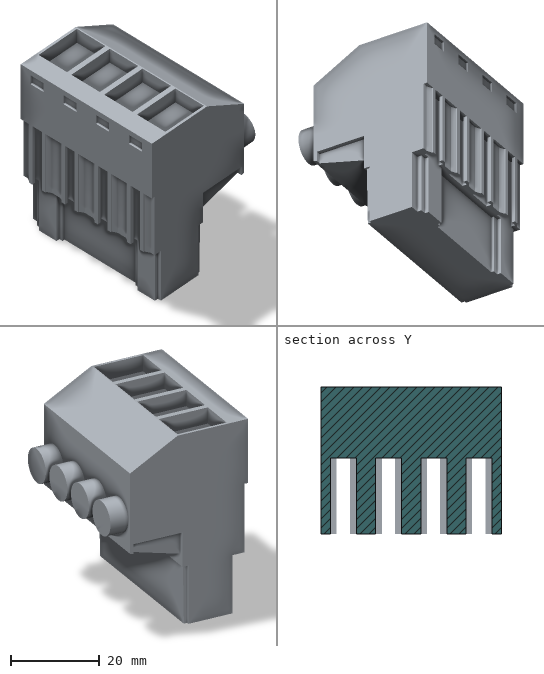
import cadquery as cq


pole_count = 4
pole_pitch = 10.158
total_height = 47.8
total_depth = 34.8

housing_back_y = 30.25
roof_ridge_y = 18.05
roof_eave_z = 41.15
overhang_back_z = 21.05
overhang_front_z = 17.4
neck_back_y = 16.8
neck_bottom_z = 14.6

end_recess_depth = 1.2
end_recess_back_y = 29.35
end_recess_top_z = 23.25

plug_front_y = 3.65
end_notch_y = 4.05
plug_back_y = 15.3
back_plate_top_y = 16.4
back_plate_bottom_y = 16.15
back_plate_inset = 0.55

key_poles = (0, pole_count - 1)
key_front_y = 2.0
key_left = -1.3
key_right = 4.1
key_base_y = 2.95
key_base_left = -2.75
key_base_right = pole_pitch / 2

groove_top_z = 31.75
groove_half_width = 2.55
groove_floor_half_width = 1.25
groove_step_y = 0.3
groove_floor_y = 0.9
channel_width = 2.95
undercut_width = 5.75
undercut_y = 0.85

pocket_width = 8.8
pocket_front_y = 5.15
pocket_back_y = 17.75
pocket_depth = 4.05
clamp_height = 9.55

window_width = 4.05
window_height = 2.6
window_top_z = 46.3
window_floor_y = 0.6

screw_diameter = 8.45
screw_axis_z = 28.85

total_width = pole_count * pole_pitch
half_width = total_width / 2
pocket_floor_z = total_height - pocket_depth
end_notch_width = pole_pitch / 2 + key_base_left
pole_xs = [(i + 0.5) * pole_pitch - half_width for i in range(pole_count)]
groove_xs = [i * pole_pitch - half_width for i in range(pole_count + 1)]


def block(x_range, y_range, z_range):
    """Box between the given limits on each axis."""
    lengths = [high - low for low, high in (x_range, y_range, z_range)]
    corner = (x_range[0], y_range[0], z_range[0])
    return cq.Workplane("XY").box(*lengths, centered=False).translate(corner)


def side_prism(points, x_start, x_end):
    """Prism along X with an outline of (y, z) points."""
    return cq.Workplane("YZ").workplane(offset=x_start).polyline(points).close().extrude(x_end - x_start)


def upper_housing():
    """Sloped-roof body with the overhang that carries the screws."""
    outline = [
        (0, neck_bottom_z),
        (0, total_height),
        (roof_ridge_y, total_height),
        (housing_back_y, roof_eave_z),
        (housing_back_y, overhang_back_z),
        (neck_back_y, overhang_front_z),
        (neck_back_y, neck_bottom_z),
    ]
    return side_prism(outline, -half_width, half_width)


def end_recesses():
    """Recesses under the overhang, one at each end of the row."""
    recesses = cq.Workplane("XY")
    for x_start in (-half_width, half_width - end_recess_depth):
        recesses = recesses.add(
            block(
                (x_start, x_start + end_recess_depth),
                (neck_back_y, end_recess_back_y),
                (neck_bottom_z, end_recess_top_z),
            )
        )
    return recesses.combine()


def front_groove(x):
    """Groove with sloping flanks, centred on the boundary between two poles."""
    outline = [
        (-groove_half_width, 0),
        (-groove_half_width, groove_step_y),
        (-groove_floor_half_width, groove_floor_y),
        (groove_floor_half_width, groove_floor_y),
        (groove_half_width, groove_step_y),
        (groove_half_width, 0),
    ]
    groove = cq.Workplane("XY").workplane(offset=neck_bottom_z).polyline(outline).close()
    return groove.extrude(groove_top_z - neck_bottom_z).translate((x, 0, 0))


def front_channel(x):
    """T-shaped channel in the front face, on the axis of a pole."""
    z_range = (neck_bottom_z, groove_top_z)
    opening = block((x - channel_width / 2, x + channel_width / 2), (0, undercut_y), z_range)
    undercut = block((x - undercut_width / 2, x + undercut_width / 2), (undercut_y, key_front_y), z_range)
    return opening.union(undercut)


def plug():
    """Plug section with its drafted back plate, end notch and stepped keys."""
    z_range = (0, neck_bottom_z)
    body = block((-half_width, half_width), (plug_front_y, plug_back_y), z_range)
    body = body.cut(block((-half_width, end_notch_width - half_width), (plug_front_y, end_notch_y), z_range))
    plate_outline = [
        (plug_back_y, 0),
        (back_plate_bottom_y, 0),
        (back_plate_top_y, neck_bottom_z),
        (plug_back_y, neck_bottom_z),
    ]
    plate_end = half_width - back_plate_inset
    body = body.union(side_prism(plate_outline, -plate_end, plate_end))
    for pole in key_poles:
        x = pole_xs[pole]
        body = body.union(block((x + key_base_left, x + key_base_right), (key_base_y, plug_front_y), z_range))
        body = body.union(block((x + key_left, x + key_right), (key_front_y, key_base_y), z_range))
    return body


def pole_box(x, bottom_z, top_z):
    """Box with the plan of a wire entry pocket."""
    return block(
        (x - pocket_width / 2, x + pocket_width / 2), (pocket_front_y, pocket_back_y), (bottom_z, top_z)
    )


def test_window(x):
    """Shallow rectangular window near the top of the front face."""
    return block(
        (x - window_width / 2, x + window_width / 2),
        (0, window_floor_y),
        (window_top_z - window_height, window_top_z),
    )


def make_clamp(x):
    """Clamp block whose top is the floor of a wire entry pocket."""
    return pole_box(x, pocket_floor_z - clamp_height, pocket_floor_z)


def make_screw(x):
    """Screw head standing on the back face."""
    back_face = cq.Workplane("XZ", origin=(x, housing_back_y, screw_axis_z))
    return back_face.circle(screw_diameter / 2).extrude(housing_back_y - total_depth)


def make_housing():
    """Housing with its pockets, clamp seats, windows, grooves and channels."""
    body = upper_housing().cut(end_recesses()).union(plug())
    for x in groove_xs:
        body = body.cut(front_groove(x))
    for x in pole_xs:
        body = body.cut(front_channel(x))
        body = body.cut(test_window(x))
        body = body.cut(pole_box(x, pocket_floor_z - clamp_height, total_height))
    return body


housing = make_housing()
clamps = [make_clamp(x) for x in pole_xs]
screws = [make_screw(x) for x in pole_xs]

bodies = [housing, *clamps, *screws]
result = cq.Compound.makeCompound([body.val() for body in bodies])